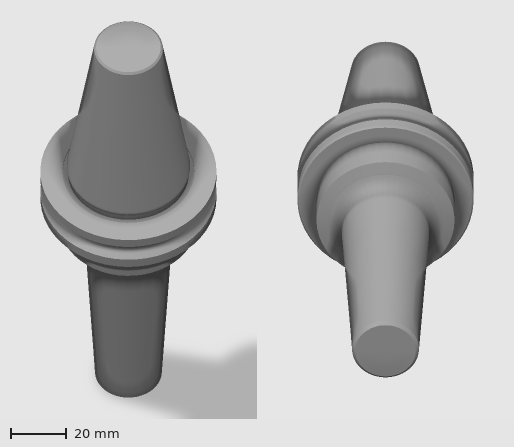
import cadquery as cq
import math

total_length = 188.4

tip_radius = 12.0
tip_chamfer = 1.1
shank_top_radius = 15.8
shank_top_z = 79.1

collar_radius = 24.9
collar_bottom_z = 87.5
shoulder_angle = math.radians(22)
shoulder_fillet = 7.3

flange_diameter = 63.5
flange_radius = flange_diameter / 2
flange_bottom_z = 100.6
flange_top_z = 116.6
flange_chamfer = 0.5
groove_floor_radius = 28.3
groove_bottom_z = 105.3
groove_top_z = 112.7
groove_fillet = 1.0
groove_flank_angle = math.radians(30)
groove_flank_height = (flange_radius - groove_floor_radius) * math.tan(groove_flank_angle)

relief_radius = 23.7
relief_depth = 0.5
neck_radius = 21.9

taper_radius_slope = 7 / 24 / 2
taper_base_radius = 22.2
taper_base_z = 119.6
taper_rim_height = 0.5
neck_top_z = 118.3
taper_start_z = taper_base_z + taper_rim_height
top_chamfer = 0.8
taper_end_z = total_length - top_chamfer
taper_end_radius = taper_base_radius - (taper_end_z - taper_start_z) * taper_radius_slope


def shoulder_arc_point(angle):
    """Point on the concave shoulder fillet; angle 0 meets the shank."""
    center_radius = shank_top_radius + shoulder_fillet
    return (
        center_radius - shoulder_fillet * math.cos(angle),
        shank_top_z + shoulder_fillet * math.sin(angle),
    )


fillet_sweep = math.pi / 2 - shoulder_angle
fillet_end = shoulder_arc_point(fillet_sweep)
fillet_middle = shoulder_arc_point(fillet_sweep / 2)

profile = (
    cq.Workplane("XZ")
    .moveTo(0, 0)
    .lineTo(tip_radius - tip_chamfer, 0)
    .lineTo(tip_radius, tip_chamfer)
    .lineTo(shank_top_radius, shank_top_z)
    .threePointArc(fillet_middle, fillet_end)
    .lineTo(collar_radius, collar_bottom_z)
    .lineTo(collar_radius, flange_bottom_z)
    .lineTo(flange_radius - flange_chamfer, flange_bottom_z)
    .lineTo(flange_radius, flange_bottom_z + flange_chamfer)
    .lineTo(flange_radius, groove_bottom_z)
    .lineTo(groove_floor_radius, groove_bottom_z + groove_flank_height)
    .lineTo(groove_floor_radius, groove_top_z - groove_flank_height)
    .lineTo(flange_radius, groove_top_z)
    .lineTo(flange_radius, flange_top_z)
    .lineTo(relief_radius, flange_top_z)
    .lineTo(relief_radius, flange_top_z - relief_depth)
    .lineTo(neck_radius, flange_top_z - relief_depth)
    .lineTo(neck_radius, neck_top_z)
    .lineTo(taper_base_radius, taper_base_z)
    .lineTo(taper_base_radius, taper_start_z)
    .lineTo(taper_end_radius, taper_end_z)
    .lineTo(taper_end_radius - top_chamfer, total_length)
    .lineTo(0, total_length)
    .close()
)

body = profile.revolve(360, (0, 0, 0), (0, 1, 0))

groove_corners = cq.selectors.BoxSelector(
    (-groove_fillet, -groove_fillet, groove_bottom_z + groove_flank_height / 2),
    (groove_fillet, groove_fillet, groove_top_z - groove_flank_height / 2),
)
result = body.edges(groove_corners).fillet(groove_fillet)